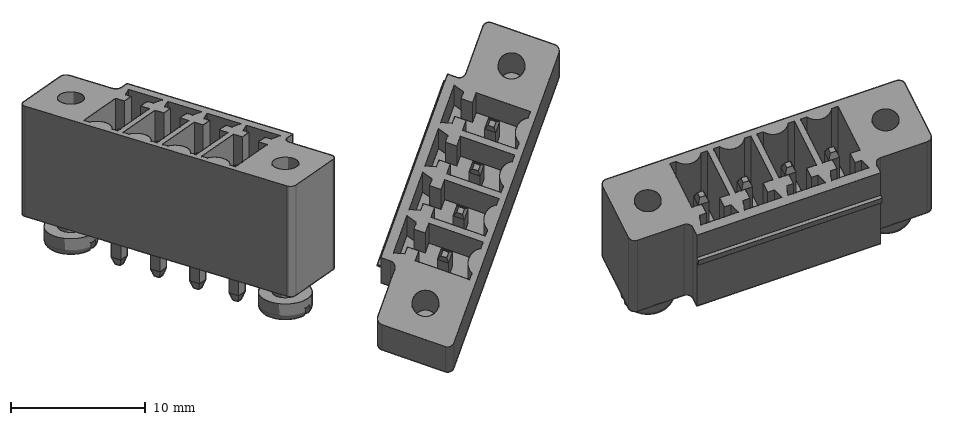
import cadquery as cq


LENGTH = 24.3
HEIGHT = 9.2
CENTRE_LENGTH = 14.77
FRONT_Y = -3.0
FLANGE_BACK_Y = 3.01
CENTRE_BACK_Y = 4.28
CORNER_RADIUS = 0.5

RIB_DEPTH = 0.3
RIB_HEIGHT = 0.58
RIB_BOTTOM_Z = 5.7

PIN_COUNT = 4
PITCH = 3.5
FLOOR_THICKNESS = 2.0
CAVITY_DEPTH = HEIGHT - FLOOR_THICKNESS
CAVITY_WIDTH = 3.01
CAVITY_FRONT_Y = -2.48
SHOULDER_Y = 1.8
NECK_WIDTH = 1.43
NECK_BACK_Y = 2.7
DOVETAIL_ROOT_WIDTH = 2.5
CAVITY_BACK_Y = 3.52
KEY_WIDTH = 2.0
KEY_RISE = 0.58

PIN_SIZE = 0.87
PIN_TIP_SIZE = 0.45
PIN_TAPER = 0.63
PIN_TAIL = 3.4
PIN_RECESS = 1.5
PIN_TOP_Z = HEIGHT - PIN_RECESS

SCREW_X = 9.55
BORE_DIAMETER = 2.0
BORE_DEPTH = CAVITY_DEPTH
SHANK_DIAMETER = BORE_DIAMETER
SHANK_LENGTH = 1.5
HEAD_DIAMETER = 4.0
HEAD_HEIGHT = 1.5
HEAD_RADIUS = 0.5
SLOT_WIDTH = 0.58
SLOT_DEPTH = 0.83


def block(x_size, y_min, y_max, z_min, height):
    """Box centred in X, spanning the given Y and Z ranges."""
    depth = y_max - y_min
    box = cq.Workplane("XY").box(x_size, depth, height, centered=(True, False, False))
    return box.translate((0, y_min, z_min))


def housing():
    """Rounded flange bar with a raised centre and a rib along its back."""
    flange_bar = block(LENGTH, FRONT_Y, FLANGE_BACK_Y, 0, HEIGHT).edges("|Z").fillet(CORNER_RADIUS)
    centre = block(CENTRE_LENGTH, FRONT_Y, CENTRE_BACK_Y, 0, HEIGHT)
    body = flange_bar.union(centre)
    reach_x = LENGTH / 2 - 2 * CORNER_RADIUS
    reach_y = CORNER_RADIUS / 2
    inner_corners = cq.selectors.BoxSelector(
        (-reach_x, FLANGE_BACK_Y - reach_y, 0),
        (reach_x, FLANGE_BACK_Y + reach_y, HEIGHT),
    )
    body = body.edges("|Z").edges(inner_corners).fillet(CORNER_RADIUS)
    rib = block(CENTRE_LENGTH, CENTRE_BACK_Y, CENTRE_BACK_Y + RIB_DEPTH, RIB_BOTTOM_Z, RIB_HEIGHT)
    return body.union(rib)


def cavity():
    """Keyed cavity: wide chamber, narrow neck and dovetail at the back."""
    wide = CAVITY_WIDTH / 2
    neck = NECK_WIDTH / 2
    root = DOVETAIL_ROOT_WIDTH / 2
    key = KEY_WIDTH / 2
    return (
        cq.Workplane("XY")
        .workplane(offset=FLOOR_THICKNESS)
        .moveTo(-wide, CAVITY_FRONT_Y)
        .lineTo(-key, CAVITY_FRONT_Y)
        .threePointArc((0, CAVITY_FRONT_Y + KEY_RISE), (key, CAVITY_FRONT_Y))
        .lineTo(wide, CAVITY_FRONT_Y)
        .lineTo(wide, SHOULDER_Y)
        .lineTo(neck, SHOULDER_Y)
        .lineTo(neck, NECK_BACK_Y)
        .lineTo(root, NECK_BACK_Y)
        .lineTo(wide, CAVITY_BACK_Y)
        .lineTo(-wide, CAVITY_BACK_Y)
        .lineTo(-root, NECK_BACK_Y)
        .lineTo(-neck, NECK_BACK_Y)
        .lineTo(-neck, SHOULDER_Y)
        .lineTo(-wide, SHOULDER_Y)
        .close()
        .extrude(CAVITY_DEPTH)
    )


def pin_taper(base_z, rise):
    """Square frustum from the full pin section to its tip; rise may be negative."""
    return (
        cq.Workplane("XY")
        .workplane(offset=base_z)
        .rect(PIN_SIZE, PIN_SIZE)
        .workplane(offset=rise)
        .rect(PIN_TIP_SIZE, PIN_TIP_SIZE)
        .loft(ruled=True)
    )


def pin():
    """Straight pin through the cavity floor, pointed at both ends."""
    bottom = -PIN_TAIL + PIN_TAPER
    top = PIN_TOP_Z - PIN_TAPER
    shaft = block(PIN_SIZE, -PIN_SIZE / 2, PIN_SIZE / 2, bottom, top - bottom)
    return shaft.union(pin_taper(top, PIN_TAPER)).union(pin_taper(bottom, -PIN_TAPER))


def screw():
    """Exposed shank and rounded, slotted head below the housing."""
    head_bottom = -SHANK_LENGTH - HEAD_HEIGHT
    head = (
        cq.Workplane("XY")
        .workplane(offset=head_bottom)
        .circle(HEAD_DIAMETER / 2)
        .extrude(HEAD_HEIGHT)
        .faces("<Z")
        .edges()
        .fillet(HEAD_RADIUS)
    )
    slot = block(HEAD_DIAMETER, -SLOT_WIDTH / 2, SLOT_WIDTH / 2, head_bottom, SLOT_DEPTH)
    shank = cq.Workplane("XY").circle(SHANK_DIAMETER / 2).extrude(-SHANK_LENGTH)
    return head.cut(slot).union(shank)


def bore():
    """Blind bore sunk from the top of a flange."""
    return (
        cq.Workplane("XY")
        .workplane(offset=HEIGHT - BORE_DEPTH)
        .circle(BORE_DIAMETER / 2)
        .extrude(BORE_DEPTH)
    )


result = housing()

for index in range(PIN_COUNT):
    position = ((index - (PIN_COUNT - 1) / 2) * PITCH, 0, 0)
    result = result.cut(cavity().translate(position)).union(pin().translate(position))

for side in (-1, 1):
    position = (side * SCREW_X, 0, 0)
    result = result.cut(bore().translate(position)).union(screw().translate(position))